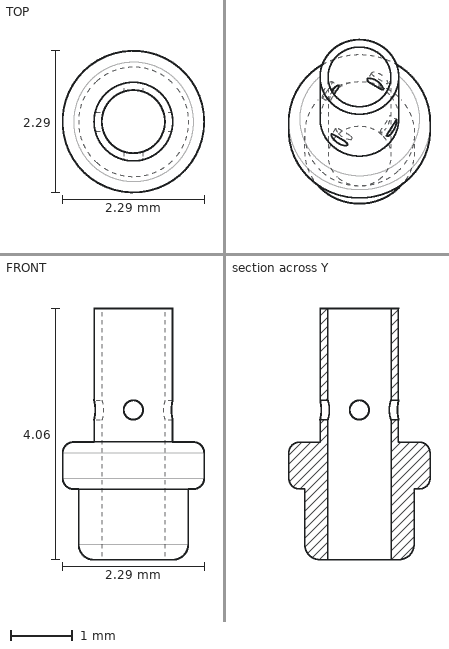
import cadquery as cq

total_height = 4.06
base_height = 1.14
flange_thickness = 0.765
flange_top = base_height + flange_thickness

base_diameter = 1.775
flange_diameter = 2.29
tube_diameter = 1.27
bore_diameter = 1.015

base_round = 0.25
flange_round = 0.18

cross_hole_diameter = 0.31
cross_hole_height = 2.42


def cylinder(diameter, bottom, top):
    """Solid cylinder on the Z axis between two heights."""
    return cq.Workplane("XY").workplane(offset=bottom).circle(diameter / 2).extrude(top - bottom)


def cross_hole(plane):
    """Cutter that passes through both walls of the tube, normal to the given plane."""
    return (
        cq.Workplane(plane)
        .center(0, cross_hole_height)
        .circle(cross_hole_diameter / 2)
        .extrude(tube_diameter, both=True)
    )


base = cylinder(base_diameter, 0, base_height).faces("<Z").edges().fillet(base_round)

flange = cylinder(flange_diameter, base_height, flange_top).faces("<Z or >Z").edges().fillet(flange_round)

tube = cylinder(tube_diameter, flange_top, total_height)

body = base.union(flange).union(tube)

result = body.cut(cylinder(bore_diameter, 0, total_height))

for plane in ("XZ", "YZ"):
    result = result.cut(cross_hole(plane))